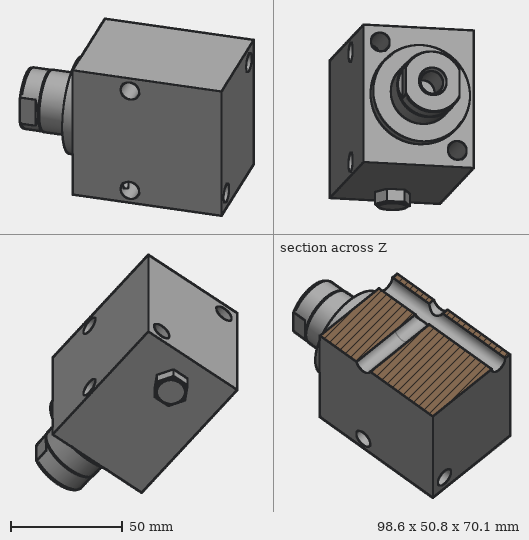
import cadquery as cq
import math

body_length = 69.9
body_width = 50.8
body_height = 63.7

rod_reach = 28.7
flange_diameter = 44.5
flange_thickness = 5.8
rod_diameter = 28.5
neck_diameter = 28.1
neck_length = 9.2
shoulder_length = 0.6
tip_chamfer_length = 0.9
tip_chamfer_depth = 0.3

flat_width = 24.7
flat_length = 7.4

bore_diameter = 10.3
bore_mouth_diameter = 12.7
bore_lip_depth = 0.3
bore_taper_end = 1.9
bore_depth = 19.7

hole_diameter = 8.7
long_hole_y = 17.7
long_hole_z = 24.1
cross_hole_x = 26.9
cross_hole_z = 25.4

plug_x = 53.9
plug_flats = 14.0
plug_length = 6.4
plug_end_diameter = 12.7
plug_rim_height = 0.8

tip_x = -rod_reach


def make_body():
    return cq.Workplane("XY").box(body_length, body_width, body_height, centered=(False, True, True))


def make_rod():
    """Flange, rod, neck and tip chamfer turned about the X axis."""
    neck_end = tip_x + neck_length
    rod_radius = rod_diameter / 2
    neck_radius = neck_diameter / 2
    flange_radius = flange_diameter / 2
    profile = [
        (0, 0),
        (tip_x, 0),
        (tip_x, neck_radius - tip_chamfer_depth),
        (tip_x + tip_chamfer_length, neck_radius),
        (neck_end, neck_radius),
        (neck_end + shoulder_length, rod_radius),
        (-flange_thickness, rod_radius),
        (-flange_thickness, flange_radius),
        (0, flange_radius),
    ]
    return cq.Workplane("XY").polyline(profile).close().revolve(360, (0, 0, 0), (1, 0, 0))


def flat_cutter(side):
    """Prism that cuts one wrench flat; side is +1 or -1 along Y."""
    flat_y = flat_width / 2
    outer_y = rod_diameter / 2
    flat_end = tip_x + flat_length
    runout = outer_y - flat_y
    profile = [
        (tip_x, side * flat_y),
        (flat_end, side * flat_y),
        (flat_end + runout, side * outer_y),
        (tip_x, side * outer_y),
    ]
    return cq.Workplane("XY").polyline(profile).close().extrude(rod_diameter / 2, both=True)


def make_bore():
    """Blind bore with a small 45 degree lip followed by a longer taper."""
    bore_radius = bore_diameter / 2
    mouth_radius = bore_mouth_diameter / 2
    profile = [
        (tip_x, 0),
        (tip_x, mouth_radius),
        (tip_x + bore_lip_depth, mouth_radius - bore_lip_depth),
        (tip_x + bore_taper_end, bore_radius),
        (tip_x + bore_depth, bore_radius),
        (tip_x + bore_depth, 0),
    ]
    return cq.Workplane("XY").polyline(profile).close().revolve(360, (0, 0, 0), (1, 0, 0))


def make_plug():
    """Hexagon with corners along Y and a tapered round rim below it."""
    hex_height = plug_length - plug_rim_height
    across_corners = plug_flats / math.cos(math.pi / 6)
    bottom = cq.Workplane("XY", origin=(plug_x, 0, -body_height / 2))
    hexagon = bottom.transformed(rotate=(0, 0, 90)).polygon(6, across_corners).extrude(-hex_height)
    rim_start = bottom.workplane(offset=-hex_height).circle(plug_flats / 2)
    rim = rim_start.workplane(offset=-plug_rim_height).circle(plug_end_diameter / 2).loft()
    return hexagon.union(rim)


def long_hole(y, z):
    """Hole along X through the body."""
    return cq.Workplane("YZ").center(y, z).circle(hole_diameter / 2).extrude(body_length)


def cross_hole(z):
    """Hole along Y through the body."""
    start = cq.Workplane("XZ").center(cross_hole_x, z)
    return start.circle(hole_diameter / 2).extrude(body_width / 2, both=True)


result = make_body().union(make_rod()).union(make_plug()).cut(make_bore())
for side in (1, -1):
    result = result.cut(flat_cutter(side))
    result = result.cut(long_hole(side * long_hole_y, side * long_hole_z))
    result = result.cut(cross_hole(side * cross_hole_z))